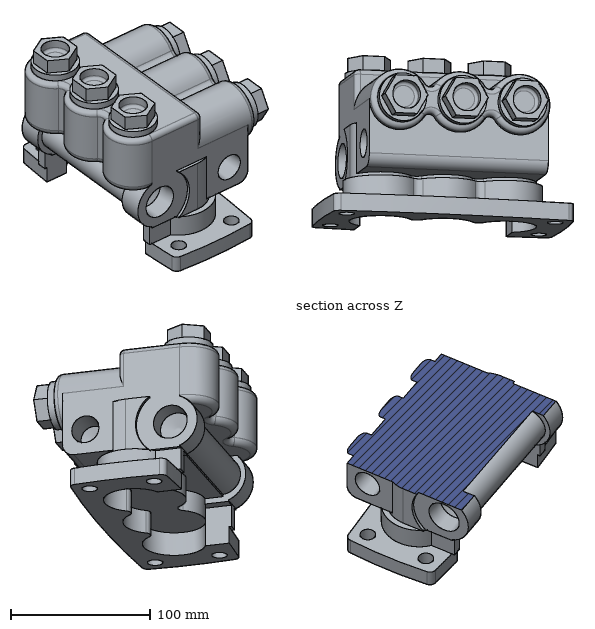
import math

import cadquery as cq

VALVE_PITCH = 44.45
VALVE_RADIUS = 21.7
VALLEY_RADIUS = 4.8
BODY_HALF_WIDTH = VALVE_PITCH + VALVE_RADIUS
EDGE_FILLET = 3.9

UPPER_TOP_Z = 109.3
UPPER_BOTTOM_Z = 63.5
UPPER_BACK_Y = 6.0
UPPER_VALVE_Y = -40.0
UPPER_BOTTOM_FILLET = 5.0

REAR_VALVE_Z = 80.1
REAR_END_Y = 55.7
CORE_BACK_Y = 48.2
CORE_BACK_BOTTOM_Z = 32.0
CORE_BOTTOM_Z = 33.0
CORE_CORNER_RADIUS = 8.6
CORE_FRONT_Y = -36.0

PLUG_COLLAR_RADIUS = 17.4
HEX_ACROSS_CORNERS = 31.7
HEX_HEIGHT = 10.8
UPPER_COLLAR_HEIGHT = 5.0
REAR_COLLAR_HEIGHT = 5.3
RECESS_RADIUS = 10.2
RECESS_DEPTH = 8.6
RECESS_FLOOR_FILLET = 2.4

PORT_Y = -32.9
TUBE_Y = -35.0
TUBE_Z = 48.8
TUBE_RADIUS = 14.2
BOSS_RADIUS = 20.2
BOSS_INNER_X = 48.2
SPOTFACE_RADIUS = 25.4
INLET_RADIUS = 12.6
INLET_DEPTH = 14.5
OUTLET_Y = 31.0
OUTLET_Z = 50.5
OUTLET_RADIUS = 10.2
OUTLET_DEPTH = 20.0
PORT_TAPER = 0.65
DRILL_POINT_ANGLE = 118.0

PLUNGER_PITCH = 45.8
PLUNGER_RADIUS = 22.7
HOUSING_TOP_Z = 69.2
HOUSING_BOTTOM_Z = 17.3
COLLAR_WALL = 4.5
COLLAR_TOP_Z = 28.9
FLAT_FRONT_Y = -20.0
FLANGE_THICKNESS = 12.6
FLANGE_HALF_LENGTH = 179.87 / 2
FLANGE_HALF_WIDTH = 39.6
FLANGE_CORNER_X = 88.1
FLANGE_CORNER_Y = 36.0
FLANGE_CORNER_RADIUS = 4.8
BOLT_X = 77.0
BOLT_Y = 24.2
BOLT_DIAMETER = 11.1
GAP_HALF_WIDTH = 56.2
FOOT_HALF_WIDTH = 63.4


def box(x, y, z):
    """Box spanning the (low, high) pairs along X, Y and Z."""
    return (
        cq.Workplane("XY")
        .box(x[1] - x[0], y[1] - y[0], z[1] - z[0], centered=False)
        .translate((x[0], y[0], z[0]))
    )


def both_ends(shape):
    """The shape together with its mirror image at the other X end."""
    return shape.union(shape.mirror("YZ"))


def lobe_run(outline, pitch, radius, direction):
    """Append three blended lobes; direction 1 runs along +u bulging toward -v, -1 the reverse."""
    valley_centre_v = -math.sqrt((radius + VALLEY_RADIUS) ** 2 - (pitch / 2) ** 2)
    share = radius / (radius + VALLEY_RADIUS)
    tangent_u = pitch / 2 * share
    tangent_v = valley_centre_v * share

    def arc(outline, middle, end):
        middle = (direction * middle[0], direction * middle[1])
        end = (direction * end[0], direction * end[1])
        return outline.threePointArc(middle, end)

    for centre in (-pitch, 0):
        valley = (centre + pitch / 2, valley_centre_v + VALLEY_RADIUS)
        outline = arc(outline, (centre, -radius), (centre + tangent_u, tangent_v))
        outline = arc(outline, valley, (centre + pitch - tangent_u, tangent_v))
    outline = arc(outline, (pitch, -radius), (pitch + radius, 0))
    return outline


def lobed_prism(plane, pitch, radius, length):
    """Prism with three lobes on both long sides, centred on the plane origin."""
    outline = plane.moveTo(-pitch - radius, 0)
    outline = lobe_run(outline, pitch, radius, 1)
    outline = lobe_run(outline, pitch, radius, -1)
    return outline.close().extrude(length)


def plunger_lobes(radius, bottom_z, top_z):
    """Upright three-lobed prism around the plungers."""
    plane = cq.Workplane("XY").workplane(offset=bottom_z)
    return lobed_prism(plane, PLUNGER_PITCH, radius, top_z - bottom_z)


def upper_block():
    """Block of the three vertical valves, flat at the back and lobed at the front."""
    depth = UPPER_BACK_Y - UPPER_VALVE_Y
    outline = (
        cq.Workplane("XY", origin=(0, UPPER_VALVE_Y, UPPER_BOTTOM_Z))
        .moveTo(BODY_HALF_WIDTH, depth)
        .lineTo(-BODY_HALF_WIDTH, depth)
        .lineTo(-BODY_HALF_WIDTH, 0)
    )
    block = (
        lobe_run(outline, VALVE_PITCH, VALVE_RADIUS, 1)
        .close()
        .extrude(UPPER_TOP_Z - UPPER_BOTTOM_Z)
    )
    block = block.edges("|Z and >Y").fillet(EDGE_FILLET)
    block = block.faces(">Z").edges().fillet(EDGE_FILLET)
    return block.faces("<Z").edges().fillet(UPPER_BOTTOM_FILLET)


def rear_block():
    """Three blended valve barrels lying along Y."""
    plane = cq.Workplane("XZ", origin=(0, REAR_END_Y, REAR_VALVE_Z))
    block = lobed_prism(plane, VALVE_PITCH, VALVE_RADIUS, REAR_END_Y)
    return block.faces(">Y").edges().fillet(EDGE_FILLET)


def core():
    """Solid heart of the body, joining the valve blocks, the tube and the plunger housing."""
    width = (-BODY_HALF_WIDTH, BODY_HALF_WIDTH)
    rear = box(width, (0, CORE_BACK_Y), (CORE_BACK_BOTTOM_Z, REAR_VALVE_Z))
    rear = rear.edges("|X and >Y and <Z").fillet(CORE_CORNER_RADIUS)
    middle = box(width, (CORE_FRONT_Y, 0), (CORE_BOTTOM_Z, REAR_VALVE_Z))
    front = box(width, (UPPER_VALVE_Y, 0), (UPPER_BOTTOM_Z, REAR_VALVE_Z))
    end_wall = box(
        (BOSS_INNER_X, BODY_HALF_WIDTH), (UPPER_VALVE_Y, 0), (COLLAR_TOP_Z, REAR_VALVE_Z)
    )
    return rear.union(middle).union(front).union(both_ends(end_wall))


def x_cylinder(radius, y, z, x_start, x_end):
    """Cylinder along X between two X positions."""
    return (
        cq.Workplane("YZ", origin=(x_start, y, z)).circle(radius).extrude(x_end - x_start)
    )


def inlet_tube():
    """Slim tube with a thicker boss at each end."""
    tube = x_cylinder(TUBE_RADIUS, TUBE_Y, TUBE_Z, -BODY_HALF_WIDTH, BODY_HALF_WIDTH)
    boss = x_cylinder(BOSS_RADIUS, PORT_Y, TUBE_Z, BOSS_INNER_X, BODY_HALF_WIDTH)
    tube = tube.union(both_ends(boss))
    below = box(
        (-BODY_HALF_WIDTH, BODY_HALF_WIDTH),
        (PORT_Y - BOSS_RADIUS, PORT_Y + BOSS_RADIUS),
        (0, COLLAR_TOP_Z),
    )
    return tube.cut(below)


def flange():
    """Plate with bowed sides, the lobed collar above it and two feet beside the front gap."""
    plate = (
        cq.Workplane("XY")
        .moveTo(-FLANGE_CORNER_X, -FLANGE_CORNER_Y)
        .threePointArc((0, -FLANGE_HALF_WIDTH), (FLANGE_CORNER_X, -FLANGE_CORNER_Y))
        .threePointArc((FLANGE_HALF_LENGTH, 0), (FLANGE_CORNER_X, FLANGE_CORNER_Y))
        .threePointArc((0, FLANGE_HALF_WIDTH), (-FLANGE_CORNER_X, FLANGE_CORNER_Y))
        .threePointArc((-FLANGE_HALF_LENGTH, 0), (-FLANGE_CORNER_X, -FLANGE_CORNER_Y))
        .close()
        .extrude(FLANGE_THICKNESS)
        .edges("|Z")
        .fillet(FLANGE_CORNER_RADIUS)
        .faces(">Z")
        .workplane(origin=(0, 0, 0))
        .rect(2 * BOLT_X, 2 * BOLT_Y, forConstruction=True)
        .vertices()
        .hole(BOLT_DIAMETER)
    )
    solid = plate.union(plunger_lobes(PLUNGER_RADIUS + COLLAR_WALL, 0, COLLAR_TOP_Z))
    feet = box((-FOOT_HALF_WIDTH, FOOT_HALF_WIDTH), (UPPER_VALVE_Y, 0), (FLANGE_THICKNESS, COLLAR_TOP_Z))
    gap = box(
        (-GAP_HALF_WIDTH, GAP_HALF_WIDTH), (-FLANGE_HALF_LENGTH, 0), (0, COLLAR_TOP_Z)
    )
    return solid.union(feet).cut(gap)


def plunger_housing():
    """Lobed column with a flat-sided front that reaches the tube bosses."""
    column = plunger_lobes(PLUNGER_RADIUS, HOUSING_BOTTOM_Z, HOUSING_TOP_Z)
    side = box(
        (BOSS_INNER_X, PLUNGER_PITCH + PLUNGER_RADIUS),
        (FLAT_FRONT_Y, 0),
        (COLLAR_TOP_Z, HOUSING_TOP_Z),
    )
    return column.union(both_ends(side))


def plug(collar_height):
    """Hexagon plug with a round recess, standing on Z = 0."""
    collar = cq.Workplane("XY").circle(PLUG_COLLAR_RADIUS).extrude(collar_height)
    head = (
        cq.Workplane("XY")
        .workplane(offset=collar_height)
        .polygon(6, HEX_ACROSS_CORNERS)
        .extrude(HEX_HEIGHT)
    )
    recess = (
        cq.Workplane("XY")
        .workplane(offset=collar_height + HEX_HEIGHT - RECESS_DEPTH)
        .circle(RECESS_RADIUS)
        .extrude(RECESS_DEPTH)
        .faces("<Z")
        .edges()
        .fillet(RECESS_FLOOR_FILLET)
    )
    return collar.union(head).cut(recess)


def port(radius, depth, y, z):
    """Blind tapered hole entering from the -X side, with a conical end."""
    end_radius = radius - PORT_TAPER
    point_length = end_radius / math.tan(math.radians(DRILL_POINT_ANGLE / 2))
    return (
        cq.Workplane("XY")
        .lineTo(0, radius)
        .lineTo(depth, end_radius)
        .lineTo(depth + point_length, 0)
        .close()
        .revolve(360, (0, 0), (1, 0))
        .translate((-BODY_HALF_WIDTH, y, z))
    )


def spotface():
    """Disc that faces the housing side flush with the inlet boss."""
    outer_x = PLUNGER_PITCH + PLUNGER_RADIUS
    return x_cylinder(SPOTFACE_RADIUS, PORT_Y, TUBE_Z, -outer_x, -BODY_HALF_WIDTH)


body = flange().cut(plunger_lobes(PLUNGER_RADIUS, 0, HOUSING_BOTTOM_Z))
body = body.union(plunger_housing()).union(core()).union(rear_block()).union(upper_block())
body = body.union(inlet_tube())
body = body.cut(both_ends(spotface()))
body = body.cut(both_ends(port(INLET_RADIUS, INLET_DEPTH, PORT_Y, TUBE_Z)))
body = body.cut(both_ends(port(OUTLET_RADIUS, OUTLET_DEPTH, OUTLET_Y, OUTLET_Z)))

upper_plug = plug(UPPER_COLLAR_HEIGHT)
rear_plug = plug(REAR_COLLAR_HEIGHT).rotate((0, 0, 0), (1, 0, 0), -90)
for index in (-1, 0, 1):
    x = index * VALVE_PITCH
    body = body.union(upper_plug.translate((x, UPPER_VALVE_Y, UPPER_TOP_Z)))
    body = body.union(rear_plug.translate((x, REAR_END_Y, REAR_VALVE_Z)))

result = body